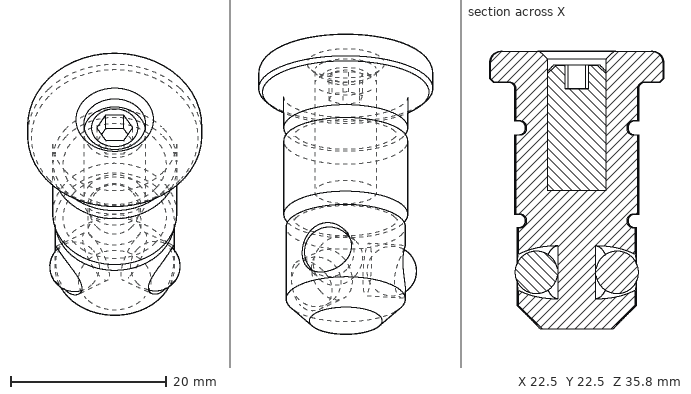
import cadquery as cq
import math

total_length = 35.8

head_radius = 22.5 / 2
head_thickness = 4.0
head_top_fillet = 1.5
head_bottom_chamfer = 0.5
under_head_fillet = 0.8

shank_radius = 16.0 / 2
tip_radius = 15.4 / 2
tip_cone_height = 3.0

groove_floor_radius = 13.3 / 2
groove_corner_radius = 0.8
upper_groove_depth = 9.0
upper_groove_width = 1.8
lower_groove_depth = 21.0
lower_groove_width = 1.72

ball_count = 3
ball_radius = 6.4 / 2
ball_center_radius = 6.0
ball_height = 7.3
ball_hole_radius = 6.8 / 2

screw_radius = 8.0 / 2
screw_length = 16.1
screw_recess = 1.8
screw_chamfer = 1.0
bore_countersink = 1.0
hex_across_flats = 4.0
hex_depth = 3.05

head_underside = total_length - head_thickness
upper_groove_top = total_length - upper_groove_depth
lower_groove_top = total_length - lower_groove_depth
lower_groove_bottom = lower_groove_top - lower_groove_width
screw_top = total_length - screw_recess
screw_bottom = screw_top - screw_length


def disc(radius, bottom, top):
    """Upright cylinder on the Z axis between two heights."""
    return cq.Workplane("XY").workplane(offset=bottom).circle(radius).extrude(top - bottom)


def make_head():
    head = disc(head_radius, head_underside, total_length)
    head = head.faces(">Z").edges().fillet(head_top_fillet)
    return head.faces("<Z").edges().chamfer(head_bottom_chamfer)


def make_under_head_fillet():
    """Ring with a concave quarter-round between the shank and the head."""
    fillet_bottom = head_underside - under_head_fillet
    arc_offset = under_head_fillet * (1 - math.sqrt(0.5))
    return (
        cq.Workplane("XZ")
        .moveTo(0, fillet_bottom)
        .lineTo(shank_radius, fillet_bottom)
        .threePointArc(
            (shank_radius + arc_offset, head_underside - arc_offset),
            (shank_radius + under_head_fillet, head_underside),
        )
        .lineTo(0, head_underside)
        .close()
        .revolve(360, (0, 0, 0), (0, 1, 0))
    )


def make_ring_groove(top, width):
    """Cutter for a groove with rounded corners at its floor."""
    outer = disc(head_radius, top - width, top)
    outer = outer.cut(disc(groove_floor_radius, top - width, top))
    inner_rims = outer.edges(cq.selectors.RadiusNthSelector(0))
    return inner_rims.fillet(groove_corner_radius)


def make_tip():
    tip = disc(tip_radius, 0, lower_groove_bottom)
    return tip.faces("<Z").edges().chamfer(tip_cone_height)


def make_screw_bore():
    bore = disc(screw_radius, screw_bottom, total_length)
    mouth_radius = screw_radius + bore_countersink
    countersink = cq.Solid.makeCone(
        screw_radius,
        mouth_radius,
        bore_countersink,
        pnt=cq.Vector(0, 0, total_length - bore_countersink),
    )
    return bore.union(cq.Workplane(countersink))


def place_around_tip(body, index):
    """Turn a body built on the +X side to its place around the axis."""
    return body.rotate((0, 0, 0), (0, 0, 1), index * 360 / ball_count)


def make_ball_hole():
    """Radial blind hole that ends where the ball reaches deepest."""
    hole_start = ball_center_radius - ball_radius
    return (
        cq.Workplane("YZ")
        .workplane(offset=hole_start)
        .center(0, ball_height)
        .circle(ball_hole_radius)
        .extrude(head_radius - hole_start)
    )


def make_housing():
    housing = disc(shank_radius, lower_groove_bottom, head_underside)
    housing = housing.union(make_head()).union(make_under_head_fillet()).union(make_tip())
    housing = housing.cut(make_ring_groove(upper_groove_top, upper_groove_width))
    housing = housing.cut(make_ring_groove(lower_groove_top, lower_groove_width))
    housing = housing.cut(make_screw_bore())
    for index in range(ball_count):
        housing = housing.cut(place_around_tip(make_ball_hole(), index))
    return housing


def make_screw():
    screw = disc(screw_radius, screw_bottom, screw_top)
    screw = screw.faces(">Z").edges().chamfer(screw_chamfer)
    hex_diameter = hex_across_flats / math.cos(math.pi / 6)
    socket = (
        cq.Workplane("XY")
        .workplane(offset=screw_top - hex_depth)
        .transformed(rotate=(0, 0, 90))
        .polygon(6, hex_diameter)
        .extrude(hex_depth)
    )
    return screw.cut(socket)


def make_ball(index):
    ball = cq.Workplane("XY").sphere(ball_radius)
    ball = ball.translate((ball_center_radius, 0, ball_height))
    return place_around_tip(ball, index)


housing = make_housing()
screw = make_screw()
balls = [make_ball(index) for index in range(ball_count)]

result = cq.Compound.makeCompound([housing.val(), screw.val(), *[ball.val() for ball in balls]])